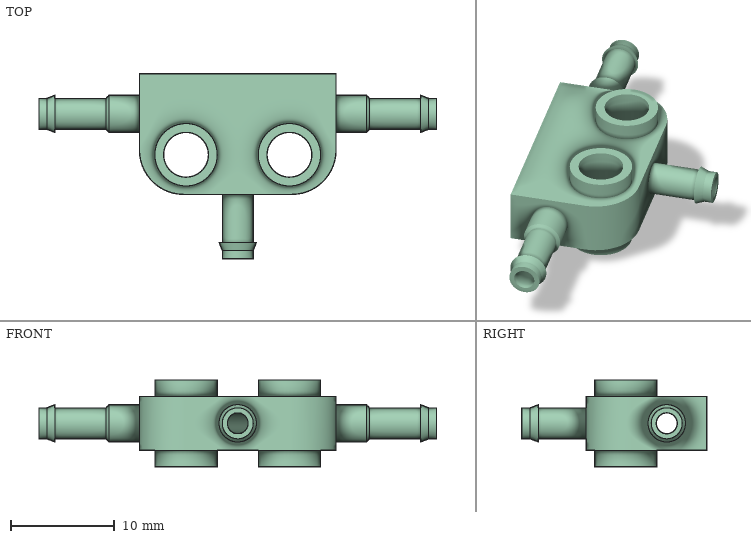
import cadquery as cq

overall_length = 38.4
overall_depth = 17.9
overall_height = 8.4

body_length = 19.0
body_depth = 11.67
body_height = 5.22
corner_radius = 4.3

boss_diameter = 6.03
boss_hole_diameter = 4.3
boss_spacing = 10.0
boss_setback = 3.85

tube_diameter = 3.0
barb_diameter = 3.6
bore_diameter = 2.0
side_axis_y = body_depth - 3.88
sleeve_length = 3.23
sleeve_chamfer = (barb_diameter - tube_diameter) / 2
side_nozzle_length = (overall_length - body_length) / 2
side_barb_section = 0.75
front_nozzle_length = overall_depth - body_depth
front_barb_section = 0.8

root_overlap = 0.4


def make_body():
    """Rectangular block with its two front vertical edges rounded."""
    block = cq.Workplane("XY").box(body_length, body_depth, body_height, centered=(True, False, True))
    return block.edges("|Z and <Y").fillet(corner_radius)


def make_nozzle(length, barb_section):
    """Solid hose nozzle along +Z; the barb and the plain tip share one length."""
    barb_base = length - 2 * barb_section
    tip_base = length - barb_section
    tube_radius = tube_diameter / 2
    barb_radius = barb_diameter / 2
    return (
        cq.Workplane("XZ")
        .moveTo(0, -root_overlap)
        .lineTo(tube_radius, -root_overlap)
        .lineTo(tube_radius, barb_base)
        .lineTo(barb_radius, barb_base)
        .lineTo(tube_radius, tip_base)
        .lineTo(tube_radius, length)
        .lineTo(0, length)
        .close()
        .revolve(360, (0, 0, 0), (0, 1, 0))
    )


def make_side_nozzle(side):
    """Side nozzle with a chamfered root sleeve; side is +1 for +X, -1 for -X."""
    sleeve = (
        cq.Workplane("XY", origin=(0, 0, -root_overlap))
        .circle(barb_diameter / 2)
        .extrude(sleeve_length + root_overlap)
        .faces(">Z")
        .chamfer(sleeve_chamfer)
    )
    nozzle = make_nozzle(side_nozzle_length, side_barb_section).union(sleeve)
    nozzle = nozzle.rotate((0, 0, 0), (0, 1, 0), side * 90)
    return nozzle.translate((side * body_length / 2, side_axis_y, 0))


def make_boss_cylinders(diameter):
    """Pair of full-height cylinders on the boss axes."""
    offset = boss_spacing / 2
    return (
        cq.Workplane("XY", origin=(0, boss_setback, -overall_height / 2))
        .pushPoints([(-offset, 0), (offset, 0)])
        .circle(diameter / 2)
        .extrude(overall_height)
    )


def make_passages():
    """Straight passage between the side nozzles, met by the front nozzle's bore."""
    cross_bore = (
        cq.Workplane("YZ", origin=(-overall_length / 2, side_axis_y, 0))
        .circle(bore_diameter / 2)
        .extrude(overall_length)
    )
    front_bore = (
        cq.Workplane("XZ", origin=(0, side_axis_y, 0))
        .circle(bore_diameter / 2)
        .extrude(side_axis_y + front_nozzle_length)
    )
    return cross_bore.union(front_bore)


result = make_body().union(make_boss_cylinders(boss_diameter))
for side in (-1, 1):
    result = result.union(make_side_nozzle(side))
front_nozzle = make_nozzle(front_nozzle_length, front_barb_section)
result = result.union(front_nozzle.rotate((0, 0, 0), (1, 0, 0), 90))
result = result.cut(make_boss_cylinders(boss_hole_diameter)).cut(make_passages())